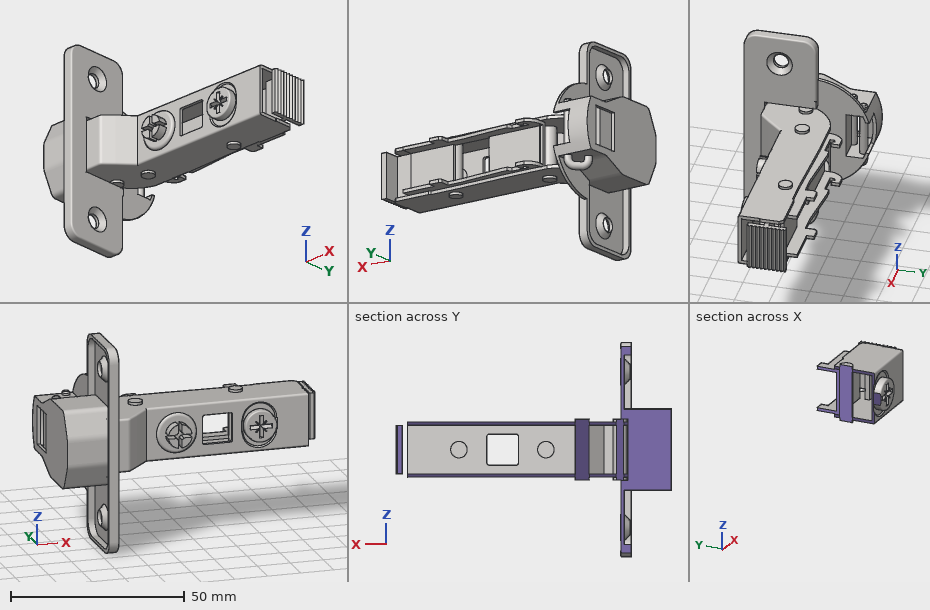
import cadquery as cq
import math


SHEET = 1.0

CUP_RADIUS = 17.5
CUP_NECK_HALF = 8.0
CUP_BODY_HALF = 11.85
CUP_NECK_Y = 8.1
CUP_SHOULDER_Y = 0.0
CUP_CORNER_Y = -12.9
CUP_BOTTOM_Y = -16.6
CUP_BOTTOM_HALF = 4.2
CUP_BLEND = 4.0
CUP_CORNER_BLEND = 2.1
RIM_X = 11.5
RIM_BACK_X = RIM_X + SHEET

CHAMBER_HALF = CUP_NECK_HALF - SHEET
CHAMBER_Y = 9.8
WINDOW_HALF = 5.9
WINDOW_Y_MIN = 4.05
WINDOW_Y_MAX = 13.05
WALL_SLOT_HALF = 5.1
WALL_SLOT_X = 6.75

PLATE_TOP_Y = 1.4
PLATE_WIDTH = 21.6
PLATE_LENGTH = 62.0
PLATE_RADIUS = 4.0
PLATE_BACK_X = 14.6
PLATE_EDGE_BLEND = 0.5
PLATE_FLOOR_X = PLATE_BACK_X - SHEET
PLATE_CENTRE_Y = PLATE_TOP_Y - PLATE_WIDTH / 2
SCREW_HOLE_SPACING = 45.0
SCREW_HOLE_Y = -9.5
SCREW_HOLE_RADIUS = 2.2
DIMPLE_RADIUS = 3.8
DIMPLE_HEIGHT = DIMPLE_RADIUS - SCREW_HOLE_RADIUS

WIRE_RADIUS = 1.2
WIRE_TOP_Z = 9.1
WIRE_BOTTOM_Z = -12.2
WIRE_BEND = 2.1
WIRE_TIP_CHAMFER = 0.4
WIRE_LEG_INNER = (4.9, 10.0)
WIRE_LEG_OUTER = (9.15, 14.2)

ARM_HALF = 8.0
ARM_INNER_HALF = ARM_HALF - SHEET
ARM_LOW_Y = -13.75
ARM_FLOOR_Y = -6.05
ARM_KNEE_LOW_X = 19.9
ARM_KNEE_HIGH_X = 27.3
ARM_KNEE_RADIUS = 1.6
ARM_SLOPE_BREAK = (23.1, -10.6)
ARM_TOP_Y = 7.55
ARM_BACK_TOP_Y = 7.4
ARM_DIP_RISE = 0.5
ARM_DIP_X_MIN = 55.75
ARM_DIP_X_MAX = 63.2
ARM_TAPER_X = 34.7
ARM_NOSE_START_Y = 0.3
ARM_NOSE_MID = (18.1, 6.2)
ARM_NOSE_END_X = 21.5
ARM_STEP_X = 76.3
ARM_STEP_Y = 0.5
ARM_END_CHAMFER = 1.1
ARM_END_X = 76.5
ARM_EDGE_BLEND = 0.6
ARM_INNER_FLOOR_Y = ARM_FLOOR_Y + SHEET
ARM_WINDOW_X_MIN = 44.2
ARM_WINDOW_X_MAX = 53.3
ARM_WINDOW_HEIGHT = 8.9
ARM_WINDOW_RADIUS = 0.6

PIVOT_PIN = (14.9, -1.5, 2.0)
FRONT_PIN = (25.8, 0.15, 2.1)
REAR_PIN = (57.0, 3.2, 2.0)
RIVET_PINS = (PIVOT_PIN, FRONT_PIN, REAR_PIN)
PIN_HALF_LENGTH = 8.8
ARM_OPENING_CLEARANCE = 0.2
ARM_OPENING_BOTTOM_Y = ARM_LOW_Y - ARM_OPENING_CLEARANCE

CLIP_X_MIN = 23.8
CLIP_X_MAX = 70.8
REAR_PIN_CLEARANCE = 0.1
CLIP_WEB_Y = REAR_PIN[1] + REAR_PIN[2] + REAR_PIN_CLEARANCE
CLIP_OPENING_X = (42.95, 55.7)
CLIP_SEAT_Y = 8.8
CLIP_RAMP_Y = 10.2
RAMP_START_X = 33.1
RAMP_CREST_X = (33.7, 35.9)
RAMP_END_X = 50.75
HOOK_TOP_Y = 12.2
HOOK_TOP_X = 26.3
HOOK_BACK_MID = (24.65, 10.65)
HOOK_BACK_START_Y = 7.6
HOOK_TIP_X = 29.35
HOOK_TIP_Y = 9.7
HOOK_THROAT = ((27.1, 10.0), (27.7, 10.5), (28.2, HOOK_TIP_Y))
CATCH_X_MIN = 55.8
CATCH_X_MAX = 59.8
CATCH_TOP_Y = 12.4
CATCH_CHAMFER = 0.7

SHANK_RADIUS = 2.4
SHANK_END_Y = ARM_INNER_FLOOR_Y
STUD_X = 36.3
STUD_FLANGE_RADIUS = 6.05
STUD_FLANGE_HEIGHT = 0.95
STUD_FLANGE_BLEND = 0.9
STUD_POST_RADIUS = 3.6
STUD_POST_HEIGHT = 2.95
STUD_SLOT_WIDTH = 1.0
STUD_BORE_RADIUS = 1.2
CLAMP_X = 61.4
CLAMP_HEAD_RADIUS = 4.8
CLAMP_HEAD_TOP_Y = -8.0
CLAMP_EDGE_BLEND = 0.4
CROSS_LENGTH = 6.7
CROSS_WIDTH = 1.3
CROSS_DEPTH = 1.6
TICK_LENGTH = 4.45
TICK_WIDTH = 0.2
TICK_DEPTH = 0.3
SEAT_WIDTH = 10.5
SEAT_HEIGHT = 13.75
SEAT_DEPTH = 0.4
SEAT_FLAT_HALF = 5.4

LEVER_HALF = ARM_INNER_HALF
LEVER_STEM_X = CLIP_X_MAX
LEVER_STEM_Y_MIN = 2.1
LEVER_STEM_Y_MAX = 3.5
LEVER_PAD_X = 77.7
LEVER_VALLEY_X = 78.9
LEVER_TIP_X = 79.5
LEVER_TOP_Y = 8.8
LEVER_PITCH = 1.2
LEVER_TEETH = 9
LEVER_END_LAND = 0.7
LEVER_BOTTOM_Y = LEVER_TOP_Y - LEVER_TEETH * LEVER_PITCH - LEVER_END_LAND


def block(x_range, y_range, half):
    """Box spanning the x and y ranges and symmetric about Z = 0."""
    x_min, x_max = x_range
    y_min, y_max = y_range
    origin = ((x_min + x_max) / 2, (y_min + y_max) / 2, -half)
    return cq.Workplane("XY", origin=origin).rect(x_max - x_min, y_max - y_min).extrude(2 * half)


def rod_z(x, y, radius, half):
    """Cylinder parallel to Z and symmetric about Z = 0."""
    return cq.Workplane("XY", origin=(x, y, -half)).circle(radius).extrude(2 * half)


def rod_x(y, z, radius, x_min, x_max, end_radius=None):
    """Cylinder parallel to X, or a cone when the end radius differs."""
    height = x_max - x_min
    start = cq.Vector(x_min, y, z)
    direction = cq.Vector(1, 0, 0)
    if end_radius is None:
        return cq.Workplane(cq.Solid.makeCylinder(radius, height, start, direction))
    return cq.Workplane(cq.Solid.makeCone(radius, end_radius, height, start, direction))


def outward_plane(x, y):
    """Plane facing -Y, out of the arm floor, with local x along X and local y along Z."""
    return cq.Workplane("XZ", origin=(x, y, 0))


def rod_out(x, y, radius, height):
    """Cylinder that starts at y and rises towards -Y."""
    return outward_plane(x, y).circle(radius).extrude(height)



def cup_body():
    neck_end_y = math.sqrt(CUP_RADIUS ** 2 - CUP_NECK_HALF ** 2)
    body = (
        cq.Workplane("YZ")
        .moveTo(neck_end_y, CUP_NECK_HALF)
        .lineTo(CUP_NECK_Y, CUP_NECK_HALF)
        .lineTo(CUP_SHOULDER_Y, CUP_BODY_HALF)
        .lineTo(CUP_CORNER_Y, CUP_BODY_HALF)
        .lineTo(CUP_BOTTOM_Y, CUP_BOTTOM_HALF)
        .lineTo(CUP_BOTTOM_Y, -CUP_BOTTOM_HALF)
        .lineTo(CUP_CORNER_Y, -CUP_BODY_HALF)
        .lineTo(CUP_SHOULDER_Y, -CUP_BODY_HALF)
        .lineTo(CUP_NECK_Y, -CUP_NECK_HALF)
        .lineTo(neck_end_y, -CUP_NECK_HALF)
        .threePointArc((CUP_RADIUS, 0), (neck_end_y, CUP_NECK_HALF))
        .close()
        .extrude(PLATE_BACK_X)
    )
    gentle_corners = ((CUP_NECK_Y, CUP_NECK_HALF), (CUP_SHOULDER_Y, CUP_BODY_HALF),
                      (CUP_BOTTOM_Y, CUP_BOTTOM_HALF))
    for y, z in gentle_corners:
        for side in (1, -1):
            body = body.edges(cq.NearestToPointSelector((PLATE_BACK_X / 2, y, side * z))).fillet(CUP_BLEND)
    for side in (1, -1):
        corner = (PLATE_BACK_X / 2, CUP_CORNER_Y, side * CUP_BODY_HALF)
        body = body.edges(cq.NearestToPointSelector(corner)).fillet(CUP_CORNER_BLEND)
    beside_plate = block((RIM_X, PLATE_BACK_X), (PLATE_TOP_Y, CUP_RADIUS + SHEET), CUP_RADIUS)
    return body.cut(beside_plate)


def mounting_plate():
    plate = (
        cq.Workplane("YZ", origin=(RIM_X, PLATE_CENTRE_Y, 0))
        .rect(PLATE_WIDTH, PLATE_LENGTH)
        .extrude(PLATE_BACK_X - RIM_X)
        .edges("|X").fillet(PLATE_RADIUS)
        .faces(">X").edges().fillet(PLATE_EDGE_BLEND)
    )
    recess = (
        cq.Workplane("YZ", origin=(RIM_X, PLATE_CENTRE_Y, 0))
        .rect(PLATE_WIDTH - 2 * SHEET, PLATE_LENGTH - 2 * SHEET)
        .extrude(PLATE_FLOOR_X - RIM_X)
        .edges("|X").fillet(PLATE_RADIUS)
    )
    plate = plate.cut(recess)
    dimple_tip_x = PLATE_FLOOR_X - DIMPLE_HEIGHT
    sink_start_x = PLATE_BACK_X - DIMPLE_HEIGHT
    for side in (1, -1):
        centre = (SCREW_HOLE_Y, side * SCREW_HOLE_SPACING / 2)
        dimple = rod_x(*centre, SCREW_HOLE_RADIUS, dimple_tip_x, PLATE_FLOOR_X, DIMPLE_RADIUS)
        hole = rod_x(*centre, SCREW_HOLE_RADIUS, dimple_tip_x, PLATE_BACK_X)
        countersink = rod_x(*centre, SCREW_HOLE_RADIUS, sink_start_x, PLATE_BACK_X, DIMPLE_RADIUS)
        plate = plate.union(dimple).cut(hole).cut(countersink)
    return plate


def chamber():
    inner_radius = CUP_RADIUS - SHEET
    round_space = rod_x(0, 0, inner_radius, SHEET, RIM_BACK_X)
    return round_space.intersect(block((0, RIM_BACK_X), (CHAMBER_Y, CUP_RADIUS), CHAMBER_HALF))


def make_cup(wire):
    beyond_cup = CUP_RADIUS + SHEET
    above_plate = block((RIM_X, RIM_BACK_X), (PLATE_TOP_Y - SHEET, beyond_cup), beyond_cup)
    rim = rod_x(0, 0, CUP_RADIUS, RIM_X, RIM_BACK_X).intersect(above_plate)
    window = block((0, SHEET), (WINDOW_Y_MIN, WINDOW_Y_MAX), WINDOW_HALF)
    wall_slot = block((WALL_SLOT_X, RIM_BACK_X), (CHAMBER_Y, beyond_cup), WALL_SLOT_HALF)
    arm_opening = block((RIM_BACK_X, PLATE_BACK_X), (ARM_OPENING_BOTTOM_Y, PLATE_TOP_Y), PIN_HALF_LENGTH)
    cup = cup_body().union(mounting_plate()).union(rim)
    return cup.cut(window).cut(chamber()).cut(wall_slot).cut(arm_opening).cut(wire)



def make_wire_pin():
    """U-shaped wire: two legs along Z joined below the cup by a cross piece with round bends."""
    run = math.dist(WIRE_LEG_INNER, WIRE_LEG_OUTER)
    x_axis = (WIRE_LEG_OUTER[0] - WIRE_LEG_INNER[0], WIRE_LEG_OUTER[1] - WIRE_LEG_INNER[1], 0)
    normal = cq.Vector(*x_axis).cross(cq.Vector(0, 0, 1))
    leg_plane = cq.Plane(origin=(*WIRE_LEG_INNER, 0), xDir=x_axis, normal=normal)
    cross_z = WIRE_BOTTOM_Z + WIRE_RADIUS
    bend_z = cross_z + WIRE_BEND
    path = (
        cq.Workplane(leg_plane)
        .moveTo(0, WIRE_TOP_Z)
        .lineTo(0, bend_z)
        .tangentArcPoint((WIRE_BEND, cross_z), relative=False)
        .lineTo(run - WIRE_BEND, cross_z)
        .tangentArcPoint((run, bend_z), relative=False)
        .lineTo(run, WIRE_TOP_Z)
    )
    wire = cq.Workplane("XY", origin=(*WIRE_LEG_INNER, WIRE_TOP_Z)).circle(WIRE_RADIUS).sweep(path)
    return wire.faces(">Z").edges().chamfer(WIRE_TIP_CHAMFER)



def arm_outer():
    outline = (
        cq.Workplane("XY", origin=(0, 0, -ARM_HALF))
        .moveTo(RIM_BACK_X, ARM_LOW_Y)
        .lineTo(ARM_KNEE_LOW_X, ARM_LOW_Y)
        .lineTo(*ARM_SLOPE_BREAK)
        .lineTo(ARM_KNEE_HIGH_X, ARM_FLOOR_Y)
        .lineTo(ARM_STEP_X, ARM_FLOOR_Y)
        .lineTo(ARM_STEP_X, ARM_STEP_Y)
        .lineTo(ARM_END_X, ARM_STEP_Y)
        .lineTo(ARM_END_X, ARM_BACK_TOP_Y - ARM_END_CHAMFER)
        .lineTo(ARM_END_X - ARM_END_CHAMFER, ARM_BACK_TOP_Y)
        .lineTo(ARM_DIP_X_MAX + ARM_DIP_RISE, ARM_BACK_TOP_Y)
        .lineTo(ARM_DIP_X_MAX, ARM_BACK_TOP_Y - ARM_DIP_RISE)
        .lineTo(ARM_DIP_X_MIN, ARM_BACK_TOP_Y - ARM_DIP_RISE)
        .lineTo(ARM_TAPER_X, ARM_TOP_Y)
        .lineTo(ARM_NOSE_END_X, ARM_TOP_Y)
        .threePointArc(ARM_NOSE_MID, (RIM_BACK_X, ARM_NOSE_START_Y))
        .close()
    )
    body = outline.extrude(2 * ARM_HALF)
    body = body.edges(cq.NearestToPointSelector((ARM_KNEE_LOW_X, ARM_LOW_Y, 0))).fillet(ARM_KNEE_RADIUS)
    break_x, break_y = ARM_SLOPE_BREAK
    floor_middles = (
        ((RIM_BACK_X + ARM_KNEE_LOW_X) / 2, ARM_LOW_Y),
        ((ARM_KNEE_LOW_X + break_x) / 2, (ARM_LOW_Y + break_y) / 2),
        ((break_x + ARM_KNEE_HIGH_X) / 2, (break_y + ARM_FLOOR_Y) / 2),
        ((ARM_KNEE_HIGH_X + ARM_STEP_X) / 2, ARM_FLOOR_Y),
    )
    picked = []
    for x, y in floor_middles:
        for z in (ARM_HALF, -ARM_HALF):
            picked.append(body.edges(cq.NearestToPointSelector((x, y, z))).val())
    return body.newObject(picked).fillet(ARM_EDGE_BLEND)


def arm_channel_space():
    """Inside of the channel: its floor follows the outer floor at one sheet thickness."""
    slope = math.atan2(ARM_FLOOR_Y - ARM_LOW_Y, ARM_KNEE_HIGH_X - ARM_KNEE_LOW_X)
    shift = SHEET * math.tan(slope / 2)
    open_y = ARM_TOP_Y + SHEET
    return (
        cq.Workplane("XY", origin=(0, 0, -ARM_INNER_HALF))
        .moveTo(RIM_BACK_X, ARM_LOW_Y + SHEET)
        .lineTo(ARM_KNEE_LOW_X - shift, ARM_LOW_Y + SHEET)
        .lineTo(ARM_KNEE_HIGH_X - shift, ARM_INNER_FLOOR_Y)
        .lineTo(ARM_END_X, ARM_INNER_FLOOR_Y)
        .lineTo(ARM_END_X, open_y)
        .lineTo(RIM_BACK_X, open_y)
        .close()
        .extrude(2 * ARM_INNER_HALF)
    )


def clamp_seat():
    """Shallow oblong recess with 45 degree sides and a flared flat at each side."""
    seat = (
        outward_plane(CLAMP_X, ARM_FLOOR_Y)
        .slot2D(SEAT_HEIGHT, SEAT_WIDTH, 90)
        .extrude(-SEAT_DEPTH, taper=45)
    )
    flat_half_height = (SEAT_HEIGHT - SEAT_WIDTH) / 2
    flats = (
        cq.Workplane("XY", origin=(CLAMP_X, ARM_FLOOR_Y, -flat_half_height))
        .polyline([(-SEAT_FLAT_HALF, 0), (SEAT_FLAT_HALF, 0),
                   (CLAMP_HEAD_RADIUS, SEAT_DEPTH), (-CLAMP_HEAD_RADIUS, SEAT_DEPTH)])
        .close()
        .extrude(2 * flat_half_height)
    )
    return seat.union(flats)


def make_arm():
    window_x = (ARM_WINDOW_X_MIN, ARM_WINDOW_X_MAX)
    window = block(window_x, (ARM_FLOOR_Y, ARM_INNER_FLOOR_Y), ARM_WINDOW_HEIGHT / 2)
    window = window.edges("|Y").fillet(ARM_WINDOW_RADIUS)
    arm = arm_outer().cut(arm_channel_space()).cut(window).cut(clamp_seat())
    for x, y, radius in RIVET_PINS:
        arm = arm.cut(rod_z(x, y, radius, ARM_HALF))
    for x in (STUD_X, CLAMP_X):
        arm = arm.cut(rod_out(x, ARM_INNER_FLOOR_Y, SHANK_RADIUS, SHEET))
    return arm



def make_clip():
    """Upright side walls with a front hook, a ramp and a rear catch, joined by an open web."""
    side_shape = (
        cq.Workplane("XY", origin=(0, 0, -ARM_INNER_HALF))
        .moveTo(CLIP_X_MIN, CLIP_WEB_Y)
        .lineTo(CLIP_X_MAX, CLIP_WEB_Y)
        .lineTo(CLIP_X_MAX, CLIP_RAMP_Y)
        .lineTo(CATCH_X_MAX, CLIP_RAMP_Y)
        .lineTo(CATCH_X_MAX, CATCH_TOP_Y)
        .lineTo(CATCH_X_MIN + CATCH_CHAMFER, CATCH_TOP_Y)
        .lineTo(CATCH_X_MIN, CATCH_TOP_Y - CATCH_CHAMFER)
        .lineTo(CATCH_X_MIN, CLIP_SEAT_Y)
        .lineTo(RAMP_END_X, CLIP_SEAT_Y)
        .lineTo(RAMP_CREST_X[1], CLIP_RAMP_Y)
        .lineTo(RAMP_CREST_X[0], CLIP_RAMP_Y)
        .lineTo(RAMP_START_X, CLIP_SEAT_Y)
        .lineTo(HOOK_THROAT[0][0], CLIP_SEAT_Y)
        .lineTo(*HOOK_THROAT[0])
        .lineTo(*HOOK_THROAT[1])
        .lineTo(*HOOK_THROAT[2])
        .lineTo(HOOK_TIP_X, HOOK_TIP_Y)
        .lineTo(HOOK_TIP_X, HOOK_TOP_Y)
        .lineTo(HOOK_TOP_X, HOOK_TOP_Y)
        .threePointArc(HOOK_BACK_MID, (CLIP_X_MIN, HOOK_BACK_START_Y))
        .close()
        .extrude(2 * ARM_INNER_HALF)
    )
    inner_half = ARM_INNER_HALF - SHEET
    web_top_y = CLIP_WEB_Y + SHEET
    between_walls = block((CLIP_X_MIN, CLIP_X_MAX), (web_top_y, CATCH_TOP_Y), inner_half)
    web_opening = block(CLIP_OPENING_X, (CLIP_WEB_Y, web_top_y), inner_half)
    return side_shape.cut(between_walls).cut(web_opening)



def make_stud():
    """Round flange on the arm floor with a post split into four quadrants."""
    flange = rod_out(STUD_X, ARM_FLOOR_Y, STUD_FLANGE_RADIUS, STUD_FLANGE_HEIGHT)
    flange = flange.faces("<Y").edges().fillet(STUD_FLANGE_BLEND)
    post_y = ARM_FLOOR_Y - STUD_FLANGE_HEIGHT
    post = rod_out(STUD_X, post_y, STUD_POST_RADIUS, STUD_POST_HEIGHT)
    slot = outward_plane(STUD_X, post_y).rect(2 * STUD_POST_RADIUS, STUD_SLOT_WIDTH)
    slot = slot.extrude(STUD_POST_HEIGHT)
    for cutter in (slot, slot.rotate((STUD_X, 0, 0), (STUD_X, 1, 0), 90)):
        post = post.cut(cutter)
    post = post.cut(rod_out(STUD_X, post_y, STUD_BORE_RADIUS, STUD_POST_HEIGHT))
    shank = rod_out(STUD_X, SHANK_END_Y, SHANK_RADIUS, SHANK_END_Y - ARM_FLOOR_Y)
    return flange.union(post).union(shank)


def make_clamp_screw():
    """Cylindrical head in the oblong seat, with a cross recess and four diagonal marks."""
    seat_y = ARM_FLOOR_Y + SEAT_DEPTH
    head = rod_out(CLAMP_X, seat_y, CLAMP_HEAD_RADIUS, seat_y - CLAMP_HEAD_TOP_Y)
    head = head.faces("<Y").edges().fillet(CLAMP_EDGE_BLEND)
    groove = (
        cq.Workplane("XY", origin=(CLAMP_X, CLAMP_HEAD_TOP_Y, -CROSS_LENGTH / 2))
        .polyline([(-CROSS_WIDTH / 2, 0), (CROSS_WIDTH / 2, 0), (0, CROSS_DEPTH)])
        .close()
        .extrude(CROSS_LENGTH)
    )
    tick = outward_plane(CLAMP_X, CLAMP_HEAD_TOP_Y).rect(TICK_LENGTH, TICK_WIDTH).extrude(-TICK_DEPTH)
    axis = ((CLAMP_X, 0, 0), (CLAMP_X, 1, 0))
    for angle in (0, 90):
        head = head.cut(groove.rotate(*axis, angle))
        head = head.cut(tick.rotate(*axis, angle + 45))
    shank = rod_out(CLAMP_X, SHANK_END_Y, SHANK_RADIUS, SHANK_END_Y - seat_y)
    return head.union(shank)


def make_lever():
    """T-shaped lever at the back end of the arm; its pad has a row of grip teeth."""
    outline = [
        (LEVER_STEM_X, LEVER_STEM_Y_MIN),
        (LEVER_PAD_X, LEVER_STEM_Y_MIN),
        (LEVER_PAD_X, LEVER_BOTTOM_Y),
        (LEVER_VALLEY_X, LEVER_BOTTOM_Y),
    ]
    for tooth in range(LEVER_TEETH, 0, -1):
        tip_y = LEVER_TOP_Y - tooth * LEVER_PITCH
        outline.append((LEVER_TIP_X, tip_y))
        outline.append((LEVER_VALLEY_X, tip_y + LEVER_PITCH / 2))
    outline += [
        (LEVER_TIP_X, LEVER_TOP_Y),
        (LEVER_PAD_X, LEVER_TOP_Y),
        (LEVER_PAD_X, LEVER_STEM_Y_MAX),
        (LEVER_STEM_X, LEVER_STEM_Y_MAX),
    ]
    return cq.Workplane("XY", origin=(0, 0, -LEVER_HALF)).polyline(outline).close().extrude(2 * LEVER_HALF)


wire_pin = make_wire_pin()
cup = make_cup(wire_pin)
arm = make_arm()
clip = make_clip()
rivet_pins = [rod_z(x, y, radius, PIN_HALF_LENGTH) for x, y, radius in RIVET_PINS]
stud = make_stud()
clamp_screw = make_clamp_screw()
lever = make_lever()

result = cq.Compound.makeCompound([
    *cup.solids().vals(),
    *wire_pin.solids().vals(),
    *arm.solids().vals(),
    *clip.solids().vals(),
    *[pin.val() for pin in rivet_pins],
    *stud.solids().vals(),
    *clamp_screw.solids().vals(),
    lever.val(),
])